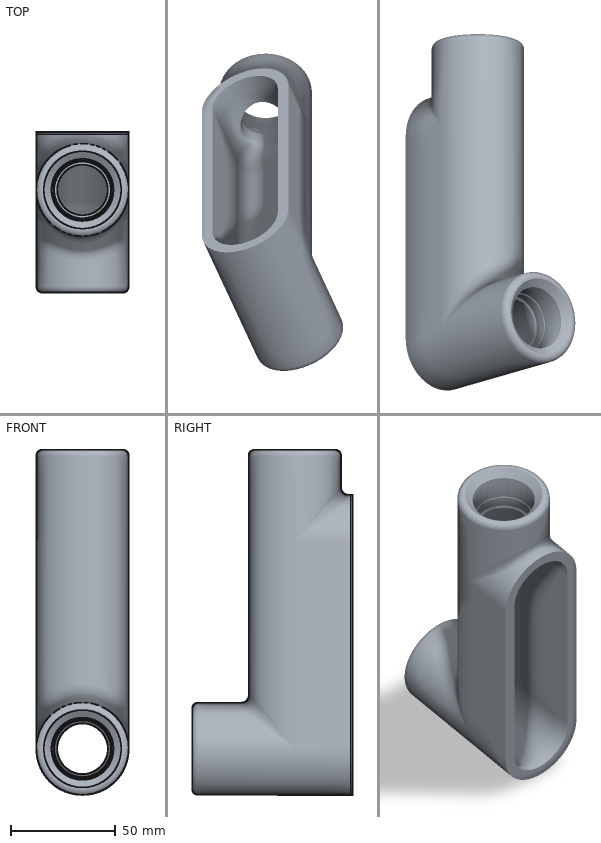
import cadquery as cq

overall_y = 77.22
overall_z = 165.99

hub_d = 44.45
hub_r = hub_d / 2
rim_d = 44.48
rim_r = rim_d / 2
rim_depth = 1.0
back_y = 27.85
front_y = back_y - overall_y
low_z = rim_r
high_z = 122.1
blend_r = 3.2
mouth_round = 3.0

cavity_d = 33.55
cavity_r = cavity_d / 2
cavity_floor_y = -14.0
cavity_round = 7.94

mouth_d = 37.2
bore_d = 29.9
bore_end_d = 28.3
bore_depth = 15.2
relief_d = 27.2
relief_depth = 20.6
throat_d = 24.3


def stadium(radius, start_y, end_y):
    """Slot-shaped prism along Y, rounded about the low and high end axes."""
    length = high_z - low_z + 2 * radius
    return (
        cq.Workplane("XZ", origin=(0, end_y, (low_z + high_z) / 2))
        .slot2D(length, 2 * radius, 90)
        .extrude(end_y - start_y)
    )


def outer_body():
    """Solid outside shape with blended hubs, rounded hub ends and the back rim."""
    upright_hub = cq.Workplane("XY", origin=(0, 0, low_z)).circle(hub_r).extrude(overall_z - low_z)
    front_hub = cq.Workplane("XZ", origin=(0, 0, low_z)).circle(hub_r).extrude(-front_y)
    body = stadium(hub_r, 0, back_y).union(upright_hub).union(front_hub)
    body = body.edges("%ELLIPSE").fillet(blend_r)
    body = body.faces(">Z or <Y").edges().fillet(mouth_round)
    return body.union(stadium(rim_r, back_y - rim_depth, back_y))


def cavity():
    """Slot-shaped pocket with a rounded floor."""
    pocket = stadium(cavity_r, cavity_floor_y, back_y)
    return pocket.faces("<Y").edges().fillet(cavity_round)


def socket_cutter(length):
    """Revolved socket profile with its mouth at Z = 0, running down to Z = -length."""
    countersink_depth = (mouth_d - bore_d) / 2
    return (
        cq.Workplane("XZ")
        .lineTo(mouth_d / 2, 0)
        .lineTo(bore_d / 2, -countersink_depth)
        .lineTo(bore_end_d / 2, -bore_depth)
        .lineTo(relief_d / 2, -bore_depth)
        .lineTo(relief_d / 2, -relief_depth)
        .lineTo(throat_d / 2, -relief_depth)
        .lineTo(throat_d / 2, -length)
        .lineTo(0, -length)
        .close()
        .revolve(360, (0, 0, 0), (0, 1, 0))
    )


def top_socket():
    """Socket from the upper end down into the cavity."""
    return socket_cutter(overall_z - high_z).translate((0, 0, overall_z))


def front_socket():
    """Socket from the front end back into the cavity."""
    cutter = socket_cutter(-front_y).rotate((0, 0, 0), (1, 0, 0), 90)
    return cutter.translate((0, front_y, low_z))


result = outer_body().cut(cavity()).cut(top_socket()).cut(front_socket())